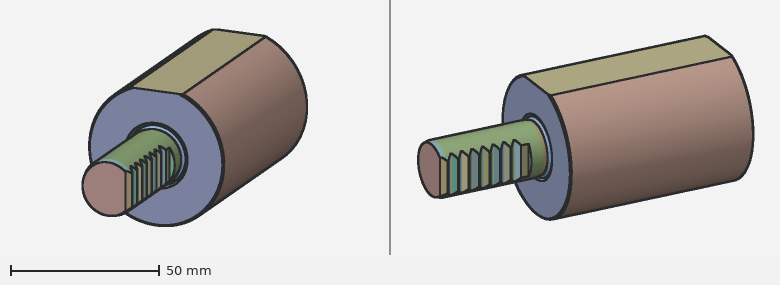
import cadquery as cq
import math


overall_length = 110

body_diameter = 49.9
body_length = 70.0
flat_height = 23.0
body_chamfer = 0.5
rear_chamfer = 0.4

shank_diameter = 20.0
shank_length = overall_length - body_length
shank_chamfer_length = 2.0
taper_angle = 15

neck_diameter = 19.1
neck_radius = 1.1
relief_diameter = 23.2
undercut_length = 2.3

rack_start = 7.0
rack_flat_x = 8.0
tooth_root_x = 6.4
first_root = 11.8
last_root = 39.8
groove_count = 8
tooth_pitch = (last_root - first_root) / (groove_count - 1)
groove_angle = 90
groove_root_radius = 0.4

hole_circle_radius = 18.0
hole_angle = 210
thread_diameter = 10.0
thread_depth = 15.0
drill_diameter = 9.0
drill_depth = 20.0
drill_point_angle = 118

body_radius = body_diameter / 2
shank_radius = shank_diameter / 2


def make_body():
    """Round bar with chamfered ends and one flat on top."""
    profile = (
        cq.Workplane("XY")
        .moveTo(0, 0)
        .lineTo(body_radius - body_chamfer, 0)
        .lineTo(body_radius, body_chamfer)
        .lineTo(body_radius, body_length - rear_chamfer)
        .lineTo(body_radius - rear_chamfer, body_length)
        .lineTo(0, body_length)
        .close()
    )
    bar = profile.revolve(360, (0, 0, 0), (0, 1, 0))
    above_flat = cq.Workplane("XY").box(
        body_diameter, body_length, body_radius, centered=(True, False, False)
    )
    return bar.cut(above_flat.translate((0, 0, flat_height)))


def make_shank():
    """Round shank with a slim lead-in taper at its free end, rooted in the body."""
    end_radius = shank_radius - shank_chamfer_length * math.tan(math.radians(taper_angle))
    root_depth = body_length / 4
    profile = (
        cq.Workplane("XY")
        .moveTo(0, root_depth)
        .lineTo(shank_radius, root_depth)
        .lineTo(shank_radius, -shank_length + shank_chamfer_length)
        .lineTo(end_radius, -shank_length)
        .lineTo(0, -shank_length)
        .close()
    )
    return profile.revolve(360, (0, 0, 0), (0, 1, 0))


def make_undercut():
    """Ring that relieves both the shank and the body face around a rounded corner."""
    neck = neck_diameter / 2
    taper_length = (shank_radius - neck) / math.tan(math.radians(taper_angle))
    arc_start_y = taper_length - undercut_length
    relief = relief_diameter / 2
    centre_x = neck + neck_radius
    arc_bulge = neck_radius * math.sqrt(0.5)
    profile = (
        cq.Workplane("XY")
        .moveTo(shank_radius, -undercut_length)
        .lineTo(neck, arc_start_y)
        .threePointArc(
            (centre_x - arc_bulge, arc_start_y + arc_bulge),
            (centre_x, arc_start_y + neck_radius),
        )
        .lineTo(relief, 0)
        .lineTo(relief, -undercut_length)
        .close()
    )
    return profile.revolve(360, (0, 0, 0), (0, 1, 0))


def make_groove(root_y):
    """V groove across the shank with a rounded root, centred at root_y."""
    half_angle = math.radians(groove_angle / 2)
    tangent_x = tooth_root_x + groove_root_radius * (1 - math.sin(half_angle))
    tangent_y = groove_root_radius * math.cos(half_angle)
    mouth_y = tangent_y + (shank_radius - tangent_x) * math.tan(half_angle)
    return (
        cq.Workplane("XY")
        .moveTo(shank_radius, root_y + mouth_y)
        .lineTo(tangent_x, root_y + tangent_y)
        .threePointArc((tooth_root_x, root_y), (tangent_x, root_y - tangent_y))
        .lineTo(shank_radius, root_y - mouth_y)
        .close()
        .extrude(shank_radius, both=True)
    )


def make_rack_cut():
    """Flat along the shank plus the row of tooth grooves sunk into it."""
    cut = cq.Workplane("XY").box(
        shank_radius, shank_length - rack_start, shank_diameter, centered=(False, False, True)
    )
    cut = cut.translate((rack_flat_x, -shank_length, 0))
    for i in range(groove_count):
        cut = cut.union(make_groove(-first_root - i * tooth_pitch))
    return cut


def make_hole():
    """Thread bore, deeper core drill and conical drill tip."""
    drill_radius = drill_diameter / 2
    thread_radius = thread_diameter / 2
    tip_length = drill_radius / math.tan(math.radians(drill_point_angle / 2))
    profile = (
        cq.Workplane("XY")
        .moveTo(0, 0)
        .lineTo(thread_radius, 0)
        .lineTo(thread_radius, thread_depth)
        .lineTo(drill_radius, thread_depth)
        .lineTo(drill_radius, drill_depth)
        .lineTo(0, drill_depth + tip_length)
        .close()
    )
    bore = profile.revolve(360, (0, 0, 0), (0, 1, 0))
    angle = math.radians(hole_angle)
    return bore.translate(
        (hole_circle_radius * math.cos(angle), 0, hole_circle_radius * math.sin(angle))
    )


result = (
    make_body()
    .union(make_shank())
    .cut(make_undercut())
    .cut(make_rack_cut())
    .cut(make_hole())
)